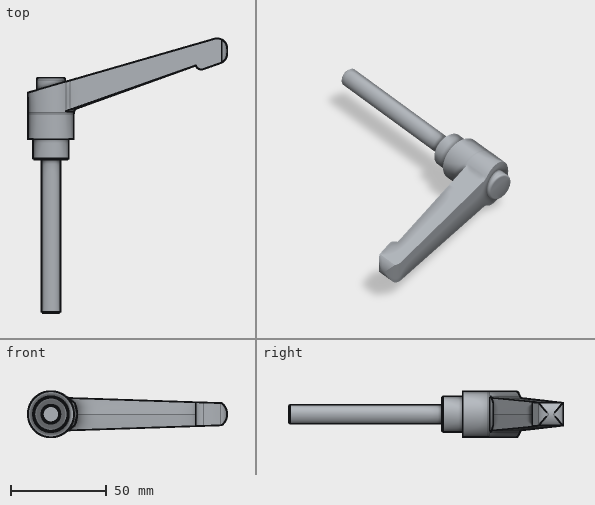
import cadquery as cq
import math


stud_diameter = 10.0
stud_length = 80.0
stud_chamfer = 0.8
sleeve_diameter = 18.8
sleeve_length = 10.8
sleeve_chamfer = 0.8
button_diameter = 15.0
button_top = 32.03
button_edge_radius = 1.0

hub_lower_diameter = 24.0
hub_upper_diameter = 24.2
hub_lower_height = 13.1
hub_step_height = 0.9
hub_upper_start = hub_lower_height + hub_step_height

top_angle = 16.1
top_height_at_axis = 27.75

part_length = 104.1
tip_x = part_length - hub_upper_diameter / 2
root_x = 9.95
root_half_width = 8.5
tip_side_x = 89.0
tip_half_width = 5.85
side_blend_radius = 3.5
tip_top_radius = 5.3
tip_bottom_radius = 5.5

underside_angle = 19.4
underside_root_y = 15.35
notch_x = 75.6
pad_start = (79.5, 36.4)
pad_nose = (76.9, 36.7)
pad_angle = 19.5
ridge_drop_axis = 0.8
ridge_drop_notch = 0.15
flare_tangent_length = 1.85


def slope(angle):
    return math.tan(math.radians(angle))


def top_y(x):
    return top_height_at_axis + x * slope(top_angle)


def underside_y(x):
    return underside_root_y + (x - root_x) * slope(underside_angle)


def ridge_y(x):
    fade = (ridge_drop_axis - ridge_drop_notch) / notch_x
    return underside_y(x) - ridge_drop_axis + x * fade


def half_width(x):
    taper = (root_half_width - tip_half_width) / (tip_side_x - root_x)
    return root_half_width - (x - root_x) * taper


def extrude_across(sketch):
    """Extrude an XY outline symmetrically across the full hub width."""
    return sketch.extrude(hub_upper_diameter, both=True)


def make_shaft():
    """Stud, sleeve, lower hub, hub step and button, turned about the Y axis."""
    stud_r = stud_diameter / 2
    sleeve_r = sleeve_diameter / 2
    button_r = button_diameter / 2
    stud_end = -sleeve_length - stud_length
    lower_outline = [
        (0, stud_end),
        (stud_r - stud_chamfer, stud_end),
        (stud_r, stud_end + stud_chamfer),
        (stud_r, -sleeve_length),
        (sleeve_r - sleeve_chamfer, -sleeve_length),
        (sleeve_r, -sleeve_length + sleeve_chamfer),
        (sleeve_r, 0),
        (hub_lower_diameter / 2, 0),
        (hub_lower_diameter / 2, hub_lower_height),
        (hub_upper_diameter / 2, hub_upper_start),
        (button_r, hub_upper_start),
        (button_r, button_top - button_edge_radius),
    ]
    return (
        cq.Workplane("XY")
        .polyline(lower_outline)
        .tangentArcPoint((button_r - button_edge_radius, button_top), relative=False)
        .lineTo(0, button_top)
        .close()
        .revolve(360, (0, 0, 0), (0, 1, 0))
    )


def make_upper_hub():
    """Round upper hub, cut off by the sloping top face."""
    reach = hub_upper_diameter
    below_top = extrude_across(
        cq.Workplane("XY").polyline([
            (-reach, hub_upper_start),
            (reach, hub_upper_start),
            (reach, top_y(reach)),
            (-reach, top_y(-reach)),
        ]).close()
    )
    cylinder = (
        cq.Workplane("XZ", origin=(0, hub_upper_start, 0))
        .circle(hub_upper_diameter / 2)
        .extrude(-top_y(reach))
    )
    return cylinder.intersect(below_top)


def make_side_outline():
    """Arm seen along Z, from the hub axis to the rounded tip."""
    pad_end_y = pad_start[1] + (tip_x - pad_start[0]) * slope(pad_angle)
    body = extrude_across(
        cq.Workplane("XY")
        .moveTo(0, top_y(0))
        .lineTo(0, underside_y(0))
        .lineTo(notch_x, underside_y(notch_x))
        .threePointArc(pad_nose, pad_start)
        .lineTo(tip_x, pad_end_y)
        .lineTo(tip_x, top_y(tip_x))
        .close()
    )
    body = body.faces(">X").edges("|Z").edges(">Y").fillet(tip_top_radius)
    return body.faces(">X").edges("|Z").edges("<Y").fillet(tip_bottom_radius)


def make_plan_outline():
    """Arm seen along Y: tapered sides and an arched end."""
    return (
        cq.Workplane("XZ")
        .moveTo(0, -half_width(0))
        .lineTo(tip_side_x, -tip_half_width)
        .threePointArc((tip_x, 0), (tip_side_x, tip_half_width))
        .lineTo(0, half_width(0))
        .close()
        .extrude(-2 * top_y(tip_x))
    )


def make_ridge():
    """Shallow ridge along the middle of the underside, fading toward the notch."""
    def section(x):
        edge_y = underside_y(x)
        edge_z = half_width(x)
        corners = [
            cq.Vector(x, edge_y, edge_z),
            cq.Vector(x, ridge_y(x), 0),
            cq.Vector(x, edge_y, -edge_z),
        ]
        return cq.Wire.makePolygon(corners, close=True)

    return cq.Workplane(cq.Solid.makeLoft([section(0), section(notch_x)], True))


def make_arm():
    outline = make_side_outline().intersect(make_plan_outline())
    return outline.union(make_ridge())


def make_underside_blend():
    """Concave flare from the hub wall out to the ridge under the arm."""
    wall_r = hub_lower_diameter / 2
    corner_y = ridge_y(wall_r)
    ridge_angle = math.atan2(ridge_y(notch_x) - corner_y, notch_x - wall_r)
    start_y = corner_y - flare_tangent_length
    end_r = wall_r + flare_tangent_length * math.cos(ridge_angle)
    end_y = corner_y + flare_tangent_length * math.sin(ridge_angle)
    flare = (
        cq.Workplane("XY")
        .moveTo(wall_r, start_y - hub_step_height)
        .lineTo(wall_r, start_y)
        .tangentArcPoint((end_r, end_y), relative=False)
        .lineTo(0, end_y)
        .lineTo(0, start_y - hub_step_height)
        .close()
        .revolve(360, (0, 0, 0), (0, 1, 0))
    )
    return flare.intersect(make_plan_outline())


def blend_sides(handle):
    """Round the two inner corners where the arm sides leave the hub."""
    corner_box = cq.selectors.BoxSelector(
        (0, hub_upper_start, -hub_upper_diameter),
        (hub_upper_diameter / 2, button_top, hub_upper_diameter),
    )
    return handle.edges("|Y").edges(corner_box).edges(">Z or <Z").fillet(side_blend_radius)


handle = make_upper_hub().union(make_arm())
handle = blend_sides(handle)
result = make_shaft().union(handle).union(make_underside_blend())